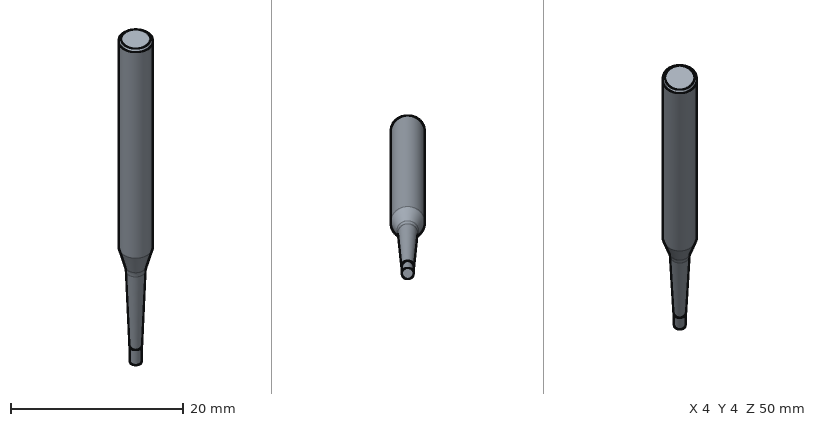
import cadquery as cq
import math

total_length = 50.0
shank_radius = 2.0
end_chamfer = 0.3

tip_radius = 0.7
tip_length = 2.4

neck_base_radius = 0.75
neck_taper = math.radians(2.0)
neck_top = 14.1
neck_top_radius = neck_base_radius + (neck_top - tip_length) * math.tan(neck_taper)

cone_angle = math.radians(15.0)
cone_top = 17.75
blend_height = 0.75
blend_top = neck_top + blend_height
blend_chord_angle = (neck_taper + cone_angle) / 2
blend_top_radius = neck_top_radius + blend_height * math.tan(blend_chord_angle)


def make_tip():
    """Cylindrical cutting tip, standing on the XY plane."""
    return cq.Workplane("XY").circle(tip_radius).extrude(tip_length)


def make_shank():
    """Neck, blend, cone and chamfered shank, turned about the Z axis."""
    return (
        cq.Workplane("XZ")
        .moveTo(0, tip_length)
        .lineTo(neck_base_radius, tip_length)
        .lineTo(neck_top_radius, neck_top)
        .tangentArcPoint((blend_top_radius, blend_top), relative=False)
        .lineTo(shank_radius, cone_top)
        .lineTo(shank_radius, total_length)
        .lineTo(0, total_length)
        .close()
        .revolve(360, (0, 0, 0), (0, 1, 0))
        .faces(">Z")
        .chamfer(end_chamfer)
    )


tip = make_tip()
shank = make_shank()

result = cq.Compound.makeCompound([tip.val(), shank.val()])